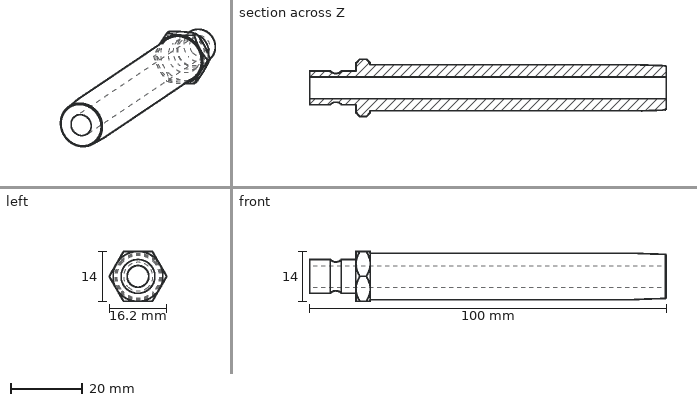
import cadquery as cq
import math

total_length = 100.0
groove_start = 5.8
groove_end = 8.9
hex_start = 13.0
hex_width = 4.0
nose_start = 91.0

bore_diameter = 6.0
spigot_diameter = 9.5
body_diameter = 13.1
nose_end_diameter = 12.5

groove_arc_radius = 2.1
end_chamfer = 0.3

across_flats = 14.0
across_corners = across_flats / math.cos(math.radians(30))
hex_chamfer_angle = 45.0


def turned_blank():
    """Spigot with a round groove, cylindrical body and tapered nose, revolved about X."""
    spigot_radius = spigot_diameter / 2
    body_radius = body_diameter / 2
    nose_radius = nose_end_diameter / 2

    groove_middle = (groove_start + groove_end) / 2
    groove_half_width = (groove_end - groove_start) / 2
    groove_depth = groove_arc_radius - math.sqrt(groove_arc_radius**2 - groove_half_width**2)
    groove_floor = (groove_middle, spigot_radius - groove_depth)

    profile = (
        cq.Workplane("XY")
        .lineTo(0, spigot_radius)
        .lineTo(groove_start, spigot_radius)
        .threePointArc(groove_floor, (groove_end, spigot_radius))
        .lineTo(hex_start, spigot_radius)
        .lineTo(hex_start, body_radius)
        .lineTo(nose_start, body_radius)
        .lineTo(total_length - end_chamfer, nose_radius)
        .lineTo(total_length, nose_radius - end_chamfer)
        .lineTo(total_length, 0)
        .close()
    )
    return profile.revolve(360, (0, 0, 0), (1, 0, 0))


def hex_collar():
    """Hexagon with flats facing +Z and -Z, its corners turned off on both faces."""
    prism = (
        cq.Workplane("YZ", origin=(hex_start, 0, 0))
        .polygon(6, across_corners)
        .extrude(hex_width)
    )

    face_radius = across_flats / 2
    rim_radius = across_corners / 2
    chamfer_width = (rim_radius - face_radius) * math.tan(math.radians(hex_chamfer_angle))
    hex_end = hex_start + hex_width
    turning_envelope = (
        cq.Workplane("XY")
        .moveTo(hex_start, 0)
        .lineTo(hex_start, face_radius)
        .lineTo(hex_start + chamfer_width, rim_radius)
        .lineTo(hex_end - chamfer_width, rim_radius)
        .lineTo(hex_end, face_radius)
        .lineTo(hex_end, 0)
        .close()
        .revolve(360, (0, 0, 0), (1, 0, 0))
    )
    return prism.intersect(turning_envelope)


def through_bore():
    """Round hole along the whole length of the part."""
    return cq.Workplane("YZ").circle(bore_diameter / 2).extrude(total_length)


result = turned_blank().union(hex_collar()).cut(through_bore())